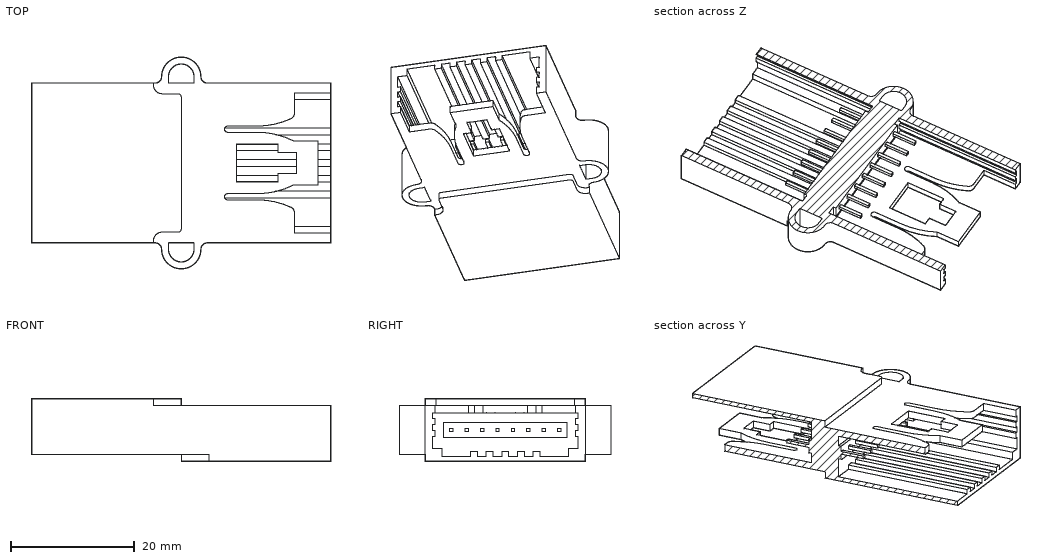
import cadquery as cq
import math

length = 48.4
total_height = 10.15
body_width = 25.9
lug_span = 34.3

half_length = length / 2
half_width = body_width / 2
base_step = 1.1
base_z = -total_height / 2
latch_z = total_height / 2 - base_step

latch_wall = 1.2
base_wall = 0.8
base_pocket_half_width = 10.25
cavity_half_width = 11.8
cavity_ledge = 2.05
web_half_thickness = 2.5
cavity_top = latch_z - latch_wall

side_rib_pitch = 1.9
side_rib_height = side_rib_pitch / 2
side_rib_depth = 0.45
side_rib_count = 2
rib_face = cavity_half_width - side_rib_depth
base_rib_pitch = 2.54
base_rib_count = 5
base_rib_width = 1.1
base_rib_height = 0.75

slot_start = 7.0
slot_width = 1.0
slot_inner_y = 4.97
slot_outer_y = slot_inner_y + slot_width
flare_start = 12.3
flare_radius = 13.0
shoulder_x = 18.33
shoulder_round = 1.0
tongue_tip_x = 22.15
tongue_half_width = 3.57
window_start = 8.97
window_step = 15.63
window_end = 18.65
window_half_width = 3.0
window_neck_half_width = 1.67

lug_radius = 3.2
lug_wall = 1.15
lug_center_y = lug_span / 2 - lug_radius
lug_blend = lug_center_y - half_width

notch_y = 11.2
notch_x = 4.5
notch_round = 1.4
base_corner_round = 0.5

pin_count = 8
pin_pitch = 2.5
pin_size = 0.55
pin_half_length = 7.0
header_half_length = 3.0
header_width = pin_count * pin_pitch
header_height = 2.4


def block(x0, x1, y0, y1, z0, z1):
    """Axis-aligned box between opposite corners."""
    return cq.Workplane("XY").box(x1 - x0, y1 - y0, z1 - z0, centered=False).translate((x0, y0, z0))


def centered_block(x0, x1, half_y, z0, z1):
    """Box symmetric about the XZ plane."""
    return block(x0, x1, -half_y, half_y, z0, z1)


def both_sides(shape):
    """The shape together with its mirror image across the XZ plane."""
    return shape.union(shape.mirror("XZ"))


def flare_point(slot_y, angle, direction):
    """Point on a flare that leaves the slot edge tangentially and has turned through the angle."""
    rise = flare_radius * (1 - math.cos(angle))
    return flare_start + flare_radius * math.sin(angle), slot_y + direction * rise


def corner_notch():
    """Clearance through the base step at the +Y inner corner."""
    outline = (
        cq.Workplane("XY")
        .moveTo(0, notch_y - base_corner_round)
        .radiusArc((base_corner_round, notch_y), base_corner_round)
        .lineTo(notch_x - notch_round, notch_y)
        .radiusArc((notch_x, notch_y + notch_round), -notch_round)
        .lineTo(notch_x, half_width)
        .lineTo(0, half_width)
        .close()
    )
    return outline.extrude(base_step).translate((0, 0, base_z))


def cavity():
    """Plug space, open at the +X end, with the keying ribs left standing."""
    ledge_z = base_z + cavity_ledge
    pocket_z = base_z + base_wall
    space = centered_block(web_half_thickness, half_length, cavity_half_width, ledge_z, cavity_top)
    space = space.union(
        centered_block(web_half_thickness, half_length, base_pocket_half_width, pocket_z, ledge_z)
    )
    for i in range(base_rib_count):
        rib_y = (i - (base_rib_count - 1) / 2) * base_rib_pitch
        rib = centered_block(
            web_half_thickness, half_length, base_rib_width / 2, pocket_z, pocket_z + base_rib_height
        )
        space = space.cut(rib.translate((0, rib_y, 0)))
    for i in range(side_rib_count):
        rib_top = cavity_top - side_rib_height - i * side_rib_pitch
        rib = block(
            web_half_thickness, half_length, rib_face, cavity_half_width, rib_top - side_rib_height, rib_top
        )
        space = space.cut(both_sides(rib))
    return space


def latch_relief():
    """Flared slot on the +Y side of the tongue, widening into the open end of the latch wall."""
    outer_angle = math.asin((shoulder_x - flare_start - shoulder_round) / (flare_radius - shoulder_round))
    flare_end = flare_point(slot_outer_y, outer_angle, 1)
    shoulder_y = flare_end[1] + shoulder_round * math.cos(outer_angle)
    inner_angle = math.acos(1 - (slot_inner_y - tongue_half_width) / flare_radius)
    tongue_root = flare_point(slot_inner_y, inner_angle, -1)
    round_x = slot_start + slot_width / 2
    outline = (
        cq.Workplane("XY")
        .moveTo(flare_start, slot_inner_y)
        .lineTo(round_x, slot_inner_y)
        .threePointArc((slot_start, slot_inner_y + slot_width / 2), (round_x, slot_outer_y))
        .lineTo(flare_start, slot_outer_y)
        .threePointArc(flare_point(slot_outer_y, outer_angle / 2, 1), flare_end)
        .radiusArc((shoulder_x, shoulder_y), -shoulder_round)
        .lineTo(shoulder_x, rib_face)
        .lineTo(half_length, rib_face)
        .lineTo(half_length, tongue_half_width)
        .lineTo(*tongue_root)
        .threePointArc(flare_point(slot_inner_y, inner_angle / 2, -1), (flare_start, slot_inner_y))
        .close()
    )
    return outline.extrude(latch_wall).translate((0, 0, cavity_top))


def latch_window():
    """Stepped window through the tongue."""
    wide = centered_block(window_start, window_step, window_half_width, cavity_top, latch_z)
    neck = centered_block(window_step, window_end, window_neck_half_width, cavity_top, latch_z)
    return wide.union(neck)


def socket():
    """The +X socket with its latch on top."""
    body = centered_block(0, half_length, half_width, base_z, latch_z)
    body = body.cut(both_sides(corner_notch()))
    body = body.cut(cavity())
    body = body.cut(both_sides(latch_relief()))
    body = body.cut(latch_window())
    return body.cut(centered_block(tongue_tip_x, half_length, tongue_half_width, cavity_top, latch_z))


def lug():
    """Loop on the +Y side, blended into the body wall, with a D-shaped opening."""
    foot_x = lug_radius + lug_blend
    hole_radius = lug_radius - lug_wall
    loop = (
        cq.Workplane("XY")
        .moveTo(-foot_x, half_width)
        .radiusArc((-lug_radius, lug_center_y), -lug_blend)
        .threePointArc((0, lug_span / 2), (lug_radius, lug_center_y))
        .radiusArc((foot_x, half_width), -lug_blend)
        .close()
        .extrude(2 * latch_z)
    )
    opening = (
        cq.Workplane("XY")
        .moveTo(-hole_radius, half_width)
        .lineTo(-hole_radius, lug_center_y)
        .threePointArc((0, lug_center_y + hole_radius), (hole_radius, lug_center_y))
        .lineTo(hole_radius, half_width)
        .close()
        .extrude(2 * latch_z)
    )
    return loop.cut(opening).translate((0, 0, -latch_z))


def pin_header():
    """Header body standing slightly proud of the web, with square pins reaching into both sockets."""
    header = cq.Workplane("XY").box(2 * header_half_length, header_width, header_height)
    for i in range(pin_count):
        pin_y = (i - (pin_count - 1) / 2) * pin_pitch
        pin = cq.Workplane("XY").box(2 * pin_half_length, pin_size, pin_size)
        header = header.union(pin.translate((0, pin_y, 0)))
    return header


right_socket = socket()
left_socket = right_socket.rotate((0, 0, 0), (0, 1, 0), 180)
result = right_socket.union(left_socket)
result = result.union(both_sides(lug())).union(pin_header())